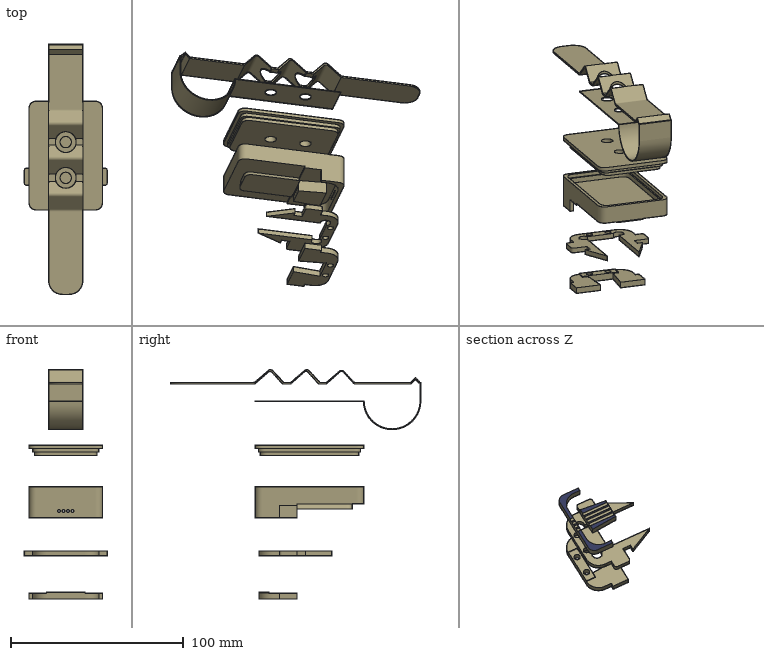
import cadquery as cq
import math


overall_length = 144.7

housing_width = 42.5
housing_length = 63.0
corner_radius = 4.0
wall = 2.0

foot_back_y = -7.2
tab_length = 10.0
tab_front_y = foot_back_y - tab_length

plate_inset = 2.2
plate_half_width = housing_width / 2 - plate_inset
plate_front_y = -housing_length / 2 + plate_inset
plate_corner_radius = 8.0
bar_depth = 6.0
bar_back_y = plate_front_y + bar_depth
bar_half_width = plate_half_width - plate_corner_radius

core_back_half_width = 6.2
core_front_half_width = 7.7

plate_hole_diameter = 3.5
plate_hole_x = 5.8
plate_hole_y = plate_front_y + bar_depth / 2
plate_hole_points = [(-plate_hole_x, plate_hole_y), (plate_hole_x, plate_hole_y)]

fastener_hole_diameter = 6.5
fastener_hole_ys = (7.8, -12.9)

bottom_plate_thickness = 3.5
bottom_strip_rise = 0.5
clip_plate_z = 25.0
clip_plate_thickness = 2.9
housing_z = 47.0
lid_z = 82.9


def rounded_block(width, length, height, radius, base_z):
    """A block centred on the Z axis, with rounded upright edges."""
    block = cq.Workplane("XY", origin=(0, 0, base_z)).rect(width, length).extrude(height)
    return block.edges("|Z").fillet(radius)


def box_between(x_min, x_max, y_min, y_max, z_min, z_max):
    """A plain block given by its limits."""
    block = cq.Workplane("XY").box(x_max - x_min, y_max - y_min, z_max - z_min, centered=False)
    return block.translate((x_min, y_min, z_min))


def upright_cylinders(diameter, points, z_min, z_max):
    """Upright cylinders centred on the given XY points."""
    plane = cq.Workplane("XY", origin=(0, 0, z_min))
    return plane.pushPoints(points).circle(diameter / 2).extrude(z_max - z_min)


def plate_front(back_y, base_z, thickness):
    """The front of both plates: a block whose two front edges are widely rounded."""
    block = box_between(-plate_half_width, plate_half_width, plate_front_y, back_y,
                        base_z, base_z + thickness)
    return block.edges("|Z and <Y").fillet(plate_corner_radius)


def core_block(base_z, height):
    """The tapered core, from the back of the front bar to the back of the foot."""
    outline = [
        (-core_front_half_width, bar_back_y),
        (core_front_half_width, bar_back_y),
        (core_back_half_width, foot_back_y),
        (-core_back_half_width, foot_back_y),
    ]
    return cq.Workplane("XY", origin=(0, 0, base_z)).polyline(outline).close().extrude(height)


def make_bottom_plate():
    plate = plate_front(foot_back_y, 0, bottom_plate_thickness)
    tabs = box_between(-housing_width / 2, housing_width / 2, tab_front_y, foot_back_y,
                       0, bottom_plate_thickness)
    strip_top = bottom_plate_thickness + bottom_strip_rise
    strip = box_between(-bar_half_width, bar_half_width, plate_front_y, bar_back_y, 0, strip_top)
    holes = upright_cylinders(plate_hole_diameter, plate_hole_points, 0, strip_top)
    return plate.union(tabs).cut(core_block(0, strip_top)).union(strip).cut(holes)


clip_tab_half_width = 24.0
clip_tab_corner_radius = 1.5
arm_inner_x = 9.8
relief_diameter = 6.0
relief_x = 10.7
relief_y = -22.1
barb_tip_y = 12.9
barb_heel_x = 17.8
barb_notch_x = 14.8
barb_heel_y = -2.3


def make_clip_plate():
    top_z = clip_plate_z + clip_plate_thickness
    plate = plate_front(foot_back_y, clip_plate_z, clip_plate_thickness)
    tabs = box_between(-clip_tab_half_width, clip_tab_half_width, tab_front_y, foot_back_y,
                       clip_plate_z, top_z)
    tabs = tabs.edges("|Z").fillet(clip_tab_corner_radius)
    plate = plate.union(tabs)
    plate = plate.cut(box_between(-arm_inner_x, arm_inner_x, bar_back_y, foot_back_y,
                                  clip_plate_z, top_z))
    for side in (-1, 1):
        barb = [
            (side * arm_inner_x, foot_back_y),
            (side * arm_inner_x, barb_tip_y),
            (side * barb_heel_x, barb_heel_y),
            (side * barb_notch_x, barb_heel_y),
            (side * barb_notch_x, foot_back_y),
        ]
        plate = plate.union(
            cq.Workplane("XY", origin=(0, 0, clip_plate_z))
            .polyline(barb).close().extrude(clip_plate_thickness)
        )
    reliefs = [(-relief_x, relief_y), (relief_x, relief_y)]
    plate = plate.cut(upright_cylinders(relief_diameter, reliefs, clip_plate_z, top_z))
    return plate.cut(upright_cylinders(plate_hole_diameter, plate_hole_points, clip_plate_z, top_z))


shell_height = 10.0
foot_height = 8.0
housing_height = shell_height + foot_height
pocket_height = 7.0
ledge_depth = 2.0
cavity_depth = 4.9
ledge_width = 1.0

rail_back_y = 24.7
rail_height = 3.0
rail_bottom_half_width = 9.5
rail_undercut = 2.2
rail_corner_radius = 3.3

contact_hole_diameter = 1.5
contact_hole_pitch = 2.6
contact_hole_count = 4
contact_hole_height = 3.9


def make_rail(shelf_z):
    """A dovetail rail under the shelf, wider at its bottom, with rounded back edges."""
    top_half_width = rail_bottom_half_width - rail_undercut
    profile = [
        (-rail_bottom_half_width, shelf_z - rail_height),
        (rail_bottom_half_width, shelf_z - rail_height),
        (top_half_width, shelf_z),
        (-top_half_width, shelf_z),
    ]
    rail = (
        cq.Workplane("XZ", origin=(0, rail_back_y, 0))
        .polyline(profile).close().extrude(rail_back_y - foot_back_y)
    )
    return rail.faces(">Y").edges("not |X").fillet(rail_corner_radius)


def make_housing():
    shelf_z = housing_z + foot_height
    top_z = housing_z + housing_height
    body = rounded_block(housing_width, housing_length, housing_height, corner_radius, housing_z)
    body = body.cut(box_between(-housing_width / 2, housing_width / 2, foot_back_y,
                                housing_length / 2, housing_z, shelf_z))

    ledge_inset = 2 * wall
    body = body.cut(rounded_block(housing_width - ledge_inset, housing_length - ledge_inset,
                                  ledge_depth, corner_radius, top_z - ledge_depth))
    cavity_inset = 2 * (wall + ledge_width)
    body = body.cut(rounded_block(housing_width - cavity_inset, housing_length - cavity_inset,
                                  cavity_depth, corner_radius, top_z - cavity_depth))

    pocket = plate_front(foot_back_y, housing_z, pocket_height)
    pocket = pocket.union(box_between(-housing_width / 2, housing_width / 2, tab_front_y,
                                      foot_back_y, housing_z, housing_z + pocket_height))
    body = body.cut(pocket.cut(core_block(housing_z, pocket_height)))

    row_half_length = contact_hole_pitch * (contact_hole_count - 1) / 2
    hole_centres = [
        (i * contact_hole_pitch - row_half_length, housing_z + contact_hole_height)
        for i in range(contact_hole_count)
    ]
    holes = (
        cq.Workplane("XZ", origin=(0, foot_back_y, 0))
        .pushPoints(hole_centres).circle(contact_hole_diameter / 2).extrude(housing_length / 2)
    )
    return body.cut(holes).union(make_rail(shelf_z))


lid_layer = 2.0
lid_ledge_width = 38.2
lid_ledge_length = 59.0
lid_ledge_corner_radius = 3.6
lid_plug_width = 36.2
lid_plug_length = 57.2


def make_lid():
    lid = rounded_block(lid_plug_width, lid_plug_length, lid_layer, corner_radius, lid_z)
    lid = lid.union(rounded_block(lid_ledge_width, lid_ledge_length, lid_layer,
                                  lid_ledge_corner_radius, lid_z + lid_layer))
    lid = lid.union(rounded_block(housing_width, housing_length, lid_layer, corner_radius,
                                  lid_z + 2 * lid_layer))
    points = [(0, y) for y in fastener_hole_ys]
    return lid.cut(upright_cylinders(fastener_hole_diameter, points, lid_z, lid_z + 3 * lid_layer))


strap_width = 19.8
strap_thickness = 1.0
band_thickness = 0.5
strap_top_z = 125.3
free_end_radius = 8.0
free_end_y = -80.3
loop_back_y = free_end_y + overall_length
loop_radius = 16.6
loop_centre_z = 114.6
band_end_y = -housing_length / 2
access_hole_diameter = 12.0
access_hole_height = 14.5

crest_radius = 1.9
inner_crest_radius = 1.5
foot_radius = 2.0
rise_slope = 1.09
fall_slope = 0.87
humps = (
    (18.7, 7.7, 0.77, 0.77),
    (-1.5, 8.1, 1.7, 0.77),
    (-22.5, 8.1, 1.6, 1.09),
)

ridge_y = 61.2
ridge_height = 2.7
ridge_thickness = 1.2


def hump_outline(apex_y, apex_height, back_thickness, front_thickness):
    """Outer and inner corner points of one hump, each from back to front."""
    apex_z = strap_top_z + apex_height
    outer = [
        (apex_y + apex_height / rise_slope, strap_top_z),
        (apex_y, apex_z),
        (apex_y - apex_height / fall_slope, strap_top_z),
    ]
    inner_shift = (front_thickness - back_thickness) / (rise_slope + fall_slope)
    inner_y = apex_y + inner_shift
    inner_z = apex_z - back_thickness - rise_slope * inner_shift
    inner_height = inner_z - (strap_top_z - strap_thickness)
    inner = [
        (inner_y + inner_height / rise_slope, inner_z - inner_height),
        (inner_y, inner_z),
        (inner_y - inner_height / fall_slope, inner_z - inner_height),
    ]
    return outer, inner


def round_bend(strap, corner, radius):
    """Fillet the edge across the strap at a (Y, Z) corner of its outline."""
    edge = strap.edges("|X").edges(cq.NearestToPointSelector((0, *corner)))
    return edge.fillet(radius)


def make_strap():
    underside_z = strap_top_z - strap_thickness
    outlines = [hump_outline(*hump) for hump in humps]
    outer_points = [point for outer, _ in outlines for point in outer]
    inner_points = [point for _, inner in outlines for point in inner]

    ridge_outer = [
        (ridge_y + ridge_height, strap_top_z),
        (ridge_y, strap_top_z + ridge_height),
        (ridge_y - ridge_height, strap_top_z),
    ]
    ridge_inner_z = strap_top_z + ridge_height - ridge_thickness
    ledge_z = strap_top_z - band_thickness
    ridge_inner = [
        (ridge_y - (ridge_inner_z - underside_z), underside_z),
        (ridge_y, ridge_inner_z),
        (ridge_y + (ridge_inner_z - ledge_z), ledge_z),
    ]

    loop_centre_y = loop_back_y - loop_radius
    inner_radius = loop_radius - band_thickness
    band_underside_z = loop_centre_z - band_thickness
    band_meets_loop_y = loop_centre_y - math.sqrt(loop_radius**2 - band_thickness**2)
    strap = (
        cq.Workplane("YZ", origin=(-strap_width / 2, 0, 0))
        .moveTo(loop_back_y, loop_centre_z)
        .lineTo(loop_back_y, strap_top_z)
        .polyline(ridge_outer + outer_points + [(free_end_y, strap_top_z)], includeCurrent=True)
        .lineTo(free_end_y, underside_z)
        .polyline(inner_points[::-1] + ridge_inner, includeCurrent=True)
        .lineTo(loop_back_y - band_thickness, ledge_z)
        .lineTo(loop_back_y - band_thickness, loop_centre_z)
        .threePointArc((loop_centre_y, loop_centre_z - inner_radius),
                       (loop_centre_y - inner_radius, loop_centre_z))
        .lineTo(band_end_y, loop_centre_z)
        .lineTo(band_end_y, band_underside_z)
        .lineTo(band_meets_loop_y, band_underside_z)
        .threePointArc((loop_centre_y, loop_centre_z - loop_radius), (loop_back_y, loop_centre_z))
        .close()
        .extrude(strap_width)
    )

    for outer, inner in outlines:
        strap = round_bend(strap, outer[1], crest_radius)
        strap = round_bend(strap, inner[1], inner_crest_radius)
    strap = round_bend(strap, outlines[0][0][0], foot_radius)
    strap = round_bend(strap, outlines[-1][0][-1], foot_radius)
    strap = strap.edges("|Z and <Y").fillet(free_end_radius)

    hole_points = [(0, y) for y in fastener_hole_ys]
    strap = strap.cut(upright_cylinders(fastener_hole_diameter, hole_points,
                                        band_underside_z, loop_centre_z))
    return strap.cut(upright_cylinders(access_hole_diameter, hole_points,
                                       underside_z, underside_z + access_hole_height))


bottom_plate = make_bottom_plate()
clip_plate = make_clip_plate()
housing = make_housing()
lid = make_lid()
strap = make_strap()

result = cq.Compound.makeCompound(
    [bottom_plate.val(), clip_plate.val(), housing.val(), lid.val(), strap.val()]
)